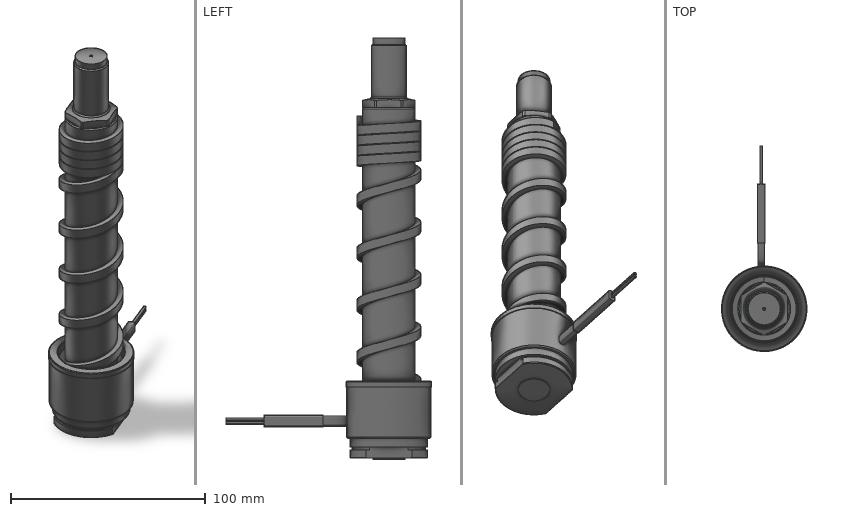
import cadquery as cq
import math

total_height = 216.3
total_depth = 105.5

cup_radius = 21.6
cup_bottom = 10.8
cup_edge_chamfer = 0.6
rim_radius = 44.0 / 2
rim_bottom = 37.2
rim_top = 40.2
rim_chamfer = 0.5
bore_radius = 17.0
base_radius = 20.0
base_groove_radius = 18.8
base_groove_bottom = 4.8
base_groove_top = 6.5
base_bottom = 0.6
base_chamfer = 0.5
wrench_width = 32.0
foot_radius = 8.2

body_radius = 27.0 / 2
body_top = 180.6
rod_radius = 18.0 / 2
rod_top = 213.0
tip_radius = 8.2
shaft_chamfer = 0.6
center_hole_diameter = 1.5
center_hole_depth = 2.2

hex_width = 24.0
hex_shoulder = 184.3
hex_seat_radius = 9.7
hex_seat_height = 185.2
hex_top = hex_seat_height + hex_seat_radius - rod_radius

spring_radius = 16.5
wire_height = 4.8
wire_overlap = 0.5
open_pitch = 26.8
closed_pitch = 5.2
open_turns = 4.35
top_closed_turns = 4.3
bottom_closed_turns = 1.0
spring_top = 176.3
spring_top_angle = 90.0

cable_x = -1.5
cable_z = 19.7
cable_width = 3.5
cable_height = 5.5
sleeve_width = 4.0
sleeve_height = 6.0
sleeve_start = 33.7
sleeve_end = 64.0
corner_radius = 1.0
cable_wire_diameter = 1.5
cable_wire_spacing = 1.7
cable_wire_end = total_depth - rim_radius

wire_top = spring_top - wire_height / 2
open_top = wire_top - top_closed_turns * closed_pitch
open_bottom = open_top - open_turns * open_pitch
wire_bottom = open_bottom - bottom_closed_turns * closed_pitch
bore_floor = wire_bottom - wire_height / 2


def disc(radius, bottom, top):
    """Cylinder on the Z axis between two heights."""
    return cq.Workplane("XY").workplane(offset=bottom).circle(radius).extrude(top - bottom)


def make_base():
    """Grooved round base with two wrench flats and a small foot."""
    base = disc(base_radius, base_bottom, base_groove_bottom).faces("<Z").chamfer(base_chamfer)
    base = base.union(disc(base_groove_radius, base_groove_bottom, base_groove_top))
    flats = (
        cq.Workplane("XY")
        .box(wrench_width, 2 * base_radius, base_groove_top, centered=(True, True, False))
    )
    base = base.intersect(flats)
    base = base.union(disc(base_radius, base_groove_top, cup_bottom))
    return base.union(disc(foot_radius, 0, base_bottom))


def make_cup():
    """Cup with a chamfered rim and a bore that seats the spring."""
    cup = disc(cup_radius, cup_bottom, rim_bottom).faces("<Z").chamfer(cup_edge_chamfer)
    rim = disc(rim_radius, rim_bottom, rim_top).cut(disc(bore_radius, rim_bottom, rim_top))
    rim = rim.faces(">Z").chamfer(rim_chamfer)
    return cup.cut(disc(bore_radius, bore_floor, rim_top)).union(rim)


def make_shaft():
    """Body, rod and tip, each step with a chamfered shoulder."""
    body = disc(body_radius, cup_bottom, body_top).faces(">Z").chamfer(shaft_chamfer)
    rod = disc(rod_radius, body_top, rod_top).faces(">Z").chamfer(shaft_chamfer)
    tip = disc(tip_radius, rod_top, total_height)
    hole = disc(center_hole_diameter / 2, total_height - center_hole_depth, total_height)
    return body.union(rod).union(tip).cut(hole)


def make_hex_collar():
    """Hexagon with corners on +Y and -Y, turned round and sloped on top."""
    turned = (
        cq.Workplane("XZ")
        .moveTo(0, body_top)
        .lineTo(body_radius, body_top)
        .lineTo(body_radius, hex_shoulder)
        .lineTo(hex_seat_radius, hex_seat_height)
        .lineTo(rod_radius, hex_top)
        .lineTo(0, hex_top)
        .close()
        .revolve(360, (0, 0), (0, 1))
    )
    corner_diameter = hex_width / math.cos(math.pi / 6)
    prism = (
        cq.Workplane("XY")
        .workplane(offset=body_top)
        .transformed(rotate=(0, 0, 90))
        .polygon(6, corner_diameter)
        .extrude(hex_top - body_top)
    )
    return turned.intersect(prism)


def coil(pitch, turns, bottom, start_angle):
    """Rectangular wire wound from a starting height and angle."""
    inner_radius = body_radius - wire_overlap
    wire_radius = (inner_radius + spring_radius) / 2
    path = cq.Wire.makeHelix(pitch, turns * pitch, wire_radius)
    winding = (
        cq.Workplane("XZ")
        .center(wire_radius, 0)
        .rect(spring_radius - inner_radius, wire_height)
        .sweep(cq.Workplane(path), isFrenet=True)
    )
    return winding.rotate((0, 0, 0), (0, 0, 1), start_angle).translate((0, 0, bottom))


def make_spring_coils():
    """Closed, open and closed windings that follow on from each other."""
    open_top_angle = spring_top_angle - 360 * top_closed_turns
    open_bottom_angle = open_top_angle - 360 * open_turns
    bottom_angle = open_bottom_angle - 360 * bottom_closed_turns
    return [
        coil(closed_pitch, bottom_closed_turns, wire_bottom, bottom_angle),
        coil(open_pitch, open_turns, open_bottom, open_bottom_angle),
        coil(closed_pitch, top_closed_turns, open_top, open_top_angle),
    ]


def rounded_bar(width, height, start, end):
    """Bar along Y with rounded long edges, centred on the cable."""
    return (
        cq.Workplane("XY")
        .box(width, end - start, height)
        .edges("|Y")
        .fillet(corner_radius)
        .translate((cable_x, (start + end) / 2, cable_z))
    )


def make_cable():
    """Cable, sleeve and two bare wires one above the other."""
    cable_start = (cup_radius + bore_radius) / 2
    cable = rounded_bar(cable_width, cable_height, cable_start, sleeve_start)
    cable = cable.union(rounded_bar(sleeve_width, sleeve_height, sleeve_start, sleeve_end))
    for side in (-1, 1):
        wire = (
            cq.Workplane("XZ", origin=(cable_x, sleeve_end, cable_z + side * cable_wire_spacing / 2))
            .circle(cable_wire_diameter / 2)
            .extrude(sleeve_end - cable_wire_end)
        )
        cable = cable.union(wire)
    return cable


result = make_cup().union(make_shaft()).union(make_base()).union(make_hex_collar())
for winding in make_spring_coils():
    result = result.union(winding)
result = result.union(make_cable())